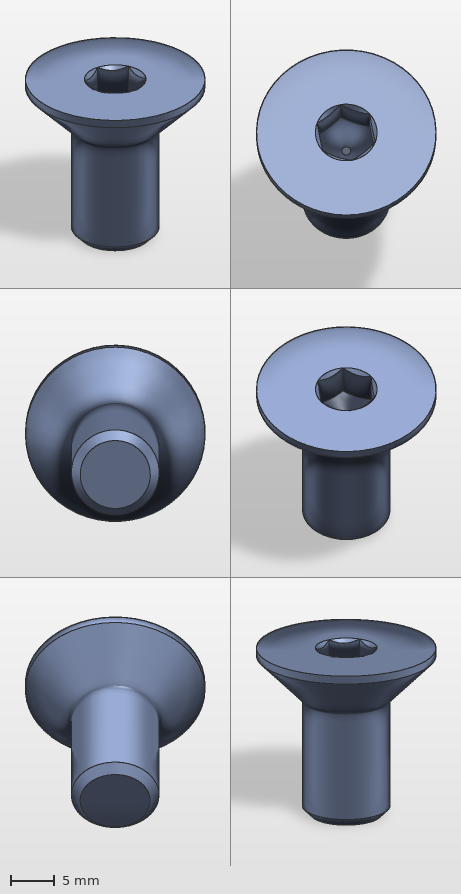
import cadquery as cq
import math

head_diameter = 20.5
shank_diameter = 10.0
length = 20.0
rim_height = 0.95
neck_fillet_radius = 0.4
tip_chamfer = 1.0

socket_flats = 6.09
socket_depth = 3.63
socket_entry_angle = 45.0
floor_flat_diameter = 1.0
floor_cone_angle = 30.0

head_radius = head_diameter / 2
shank_radius = shank_diameter / 2
rim_bottom = length - rim_height
neck_z = rim_bottom - (head_radius - shank_radius)
socket_corners = socket_flats / math.cos(math.radians(30))


def cone(large_diameter, small_diameter, slope, top_z):
    """Solid cone frustum narrowing downward from top_z."""
    large_radius = large_diameter / 2
    small_radius = small_diameter / 2
    height = (large_radius - small_radius) * math.tan(math.radians(slope))
    return (
        cq.Workplane("XZ")
        .moveTo(0, top_z)
        .lineTo(large_radius, top_z)
        .lineTo(small_radius, top_z - height)
        .lineTo(0, top_z - height)
        .close()
        .revolve(360, (0, 0, 0), (0, 1, 0))
    )


def make_body():
    """Head, shank and chamfered tip, with a fillet under the head."""
    body = (
        cq.Workplane("XZ")
        .lineTo(shank_radius - tip_chamfer, 0)
        .lineTo(shank_radius, tip_chamfer)
        .lineTo(shank_radius, neck_z)
        .lineTo(head_radius, rim_bottom)
        .lineTo(head_radius, length)
        .lineTo(0, length)
        .close()
        .revolve(360, (0, 0, 0), (0, 1, 0))
    )
    neck_search = rim_height / 2
    neck_edge = cq.selectors.BoxSelector(
        (-head_radius, -head_radius, neck_z - neck_search),
        (head_radius, head_radius, neck_z + neck_search),
    )
    return body.edges("%CIRCLE").edges(neck_edge).fillet(neck_fillet_radius)


def make_socket():
    """Hexagonal cavity with a conical entry and a conical floor."""
    hexagon = (
        cq.Workplane("XY")
        .workplane(offset=length)
        .polygon(6, socket_corners)
        .extrude(-length)
    )
    floor_z = length - socket_depth
    straight_part = cq.Workplane("XY").workplane(offset=floor_z).circle(head_radius).extrude(socket_depth)
    floor = cone(socket_corners, floor_flat_diameter, floor_cone_angle, floor_z)
    entry = cone(socket_corners, floor_flat_diameter, socket_entry_angle, length)
    return hexagon.intersect(straight_part.union(floor)).union(entry)


result = make_body().cut(make_socket())